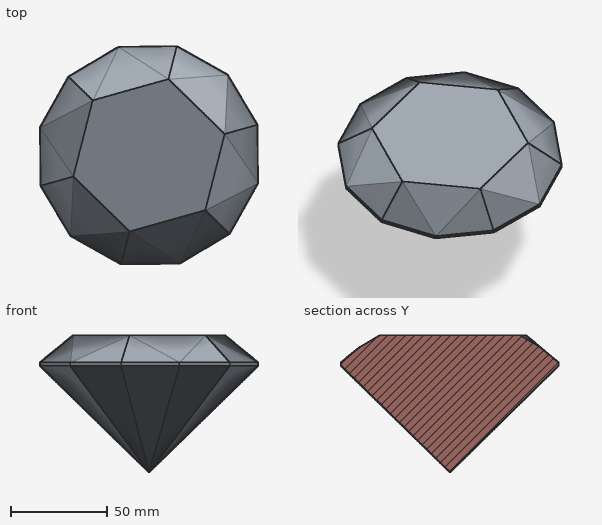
import cadquery as cq
import math

width = 113.6
total_height = 71.5
crown_height = 14.2
girdle_height = 1.8
table_radius = 40.9
rotation = 15.7
table_sides = 6
girdle_sides = 2 * table_sides

girdle_step = 360 / girdle_sides
girdle_radius = width / 2 / math.cos(math.radians(girdle_step - rotation))

girdle_bottom = total_height - crown_height - girdle_height
girdle_top = girdle_bottom + girdle_height


def ring(radius, sides, z):
    """Corners of a regular polygon at height z, anticlockwise from above."""
    angles = [math.radians(rotation + i * 360 / sides) for i in range(sides)]
    return [cq.Vector(radius * math.cos(a), radius * math.sin(a), z) for a in angles]


def facet(*corners):
    """Flat face through the given corners."""
    return cq.Face.makeFromWires(cq.Wire.makePolygon(corners, close=True))


culet = cq.Vector(0, 0, 0)
table = ring(table_radius, table_sides, total_height)
upper = ring(girdle_radius, girdle_sides, girdle_top)
lower = ring(girdle_radius, girdle_sides, girdle_bottom)

facets = [facet(*table)]

for i in range(table_sides):
    corner = table[i]
    next_corner = table[(i + 1) % table_sides]
    before = upper[2 * i - 1]
    aligned = upper[2 * i]
    after = upper[2 * i + 1]
    facets.append(facet(corner, before, aligned))
    facets.append(facet(corner, aligned, after))
    facets.append(facet(corner, after, next_corner))

for i in range(girdle_sides):
    j = (i + 1) % girdle_sides
    facets.append(facet(lower[i], lower[j], upper[j], upper[i]))
    facets.append(facet(culet, lower[j], lower[i]))

result = cq.Workplane(cq.Solid.makeSolid(cq.Shell.makeShell(facets)))